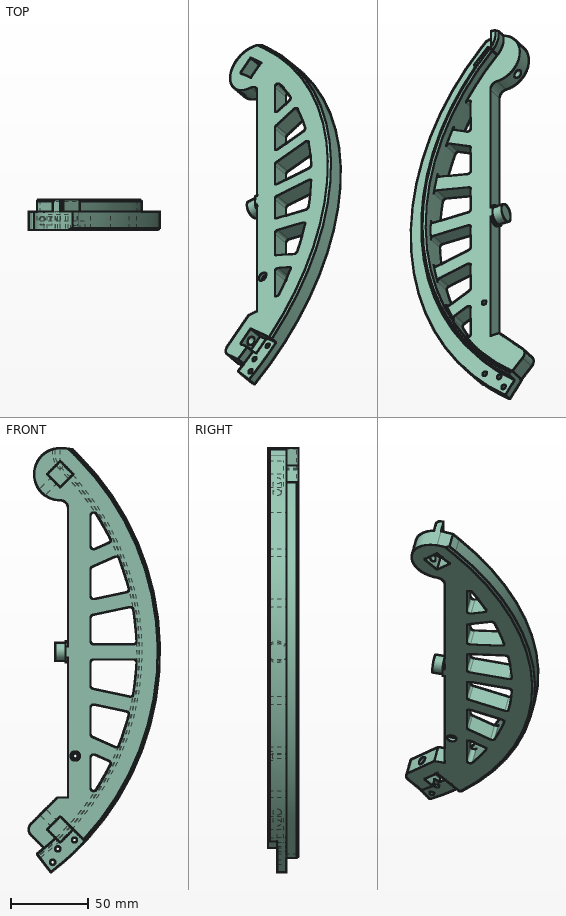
import cadquery as cq
import math

joint_angle = 45.0
diagonal = math.sqrt(0.5)

outer_radius = 180.0
inner_radius = 165.0
plate_thickness = 12.0
total_depth = 20.0
front_chamfer = 1.5

hub_distance = 163.0
hub_radius = 17.0
hub_fillet = 5.0
block_half_width = 16.0
block_corner_radius = 5.0
block_shoulder_z = -94.5
crown_radius = 36.0
hub_offset = hub_distance * diagonal
spine_x = hub_offset + hub_fillet

socket_side = 12.0
socket_depth = 10.0
set_screw_diameter = 5.5

window_left_x = 135.0
window_fillet = 2.0
rib_width = 10.0
rib_pitch_angle = 12.0
rib_angles = [rib_pitch_angle * step for step in range(-2, 3)]

tab_end_angle = 52.66
notch_depth = 6.0
tab_hole_diameter = 3.2
tab_holes = [(174.4, -1.7), (170.8, 10.0), (174.6, 18.5)]

rim_outer_radius = 168.4
rim_chamfer = 1.5
rim_end_angle = 45.8
pad_length = 15.0
horn_arc_center = (125.3, 129.2)
horn_arc_radius = 15.0

pin_diameter = 12.0
pin_tip_x = 112.0
collar_diameter = 14.0
collar_x = 118.8
pin_overlap = 1.0

spine_hole_center = (125.0, -67.6)
spine_hole_diameter = 3.2
counterbore_diameter = 6.0
counterbore_depth = 3.0


def polar(radius, degrees):
    """X, Z of a point on a circle about the ring centre."""
    angle = math.radians(degrees)
    return radius * math.cos(angle), radius * math.sin(angle)


def lower_point(radial, tangential):
    """X, Z of a point measured along and past the -45 degree axis."""
    return (radial - tangential) * diagonal, -(radial + tangential) * diagonal


def front_plane(y=0):
    """Sketch plane with local axes X and Z; negative extrusions go to +Y."""
    return cq.Workplane("XZ", origin=(0, y, 0))


def disc(center, radius, y, depth):
    return front_plane(y).center(*center).circle(radius).extrude(-depth)


def tilted_box(radial, tangential, y, axis_angle):
    """Box from ranges along a radial axis, across it, and in Y."""
    size = [high - low for low, high in (radial, y, tangential)]
    box = cq.Workplane("XY").box(*size, centered=False).translate((radial[0], y[0], tangential[0]))
    return box.rotate((0, 0, 0), (0, 1, 0), -axis_angle)


def plate_blank(depth):
    """Plate outline extruded from the front face, with its front outer edge chamfered."""
    hub_top = hub_offset + hub_radius
    hub_bottom = hub_offset - hub_radius

    crown_center_z = hub_top - crown_radius
    center_distance = (hub_offset + crown_center_z) * diagonal
    crown_angle = math.radians(joint_angle) + math.acos((outer_radius - center_distance) / crown_radius)
    mid_angle = (math.radians(90) + crown_angle) / 2
    crown_mid, crown_end = [
        (hub_offset + crown_radius * math.cos(a), crown_center_z + crown_radius * math.sin(a))
        for a in (mid_angle, crown_angle)
    ]

    block_inner = hub_distance - block_half_width
    tab_root_radial = math.sqrt(inner_radius**2 - block_half_width**2)
    tab_root_angle = joint_angle + math.degrees(math.asin(block_half_width / inner_radius))
    shoulder_x = block_inner / diagonal + block_shoulder_z
    fillet_center_z = hub_bottom - hub_fillet
    fillet_mid = (
        hub_offset + hub_fillet * diagonal,
        fillet_center_z + hub_fillet * diagonal,
    )

    outline = (
        front_plane()
        .moveTo(hub_offset, hub_top)
        .threePointArc(crown_mid, crown_end)
        .lineTo(*polar(outer_radius, joint_angle))
        .threePointArc((outer_radius, 0), polar(outer_radius, -tab_end_angle))
        .lineTo(*polar(inner_radius, -tab_end_angle))
        .threePointArc(
            polar(inner_radius, -(tab_end_angle + tab_root_angle) / 2),
            lower_point(tab_root_radial, block_half_width),
        )
        .lineTo(*lower_point(block_inner, block_half_width))
        .lineTo(shoulder_x, block_shoulder_z)
        .lineTo(spine_x, block_shoulder_z)
        .lineTo(spine_x, fillet_center_z)
        .threePointArc(fillet_mid, (hub_offset, hub_bottom))
        .threePointArc((hub_offset - hub_radius, hub_offset), (hub_offset, hub_top))
        .close()
    )
    plate = outline.extrude(-depth)

    corner_x, corner_z = lower_point(block_inner, block_half_width)
    corner = cq.selectors.NearestToPointSelector((corner_x, depth / 2, corner_z))
    plate = plate.edges(corner).fillet(block_corner_radius)

    straight_x = (crown_end[0] + outer_radius * diagonal) / 2
    straight_z = (crown_end[1] + outer_radius * diagonal) / 2
    straight_edge = cq.selectors.NearestToPointSelector((straight_x, 0, straight_z))
    arc_edge = cq.selectors.NearestToPointSelector((outer_radius, 0, 0))
    return plate.edges(cq.selectors.SumSelector(straight_edge, arc_edge)).chamfer(front_chamfer)


def windows():
    """Openings between the straight spine and the curved band, separated by radial ribs."""
    reach = outer_radius
    area = disc((0, 0), inner_radius, 0, plate_thickness)
    area = area.intersect(
        cq.Workplane("XY").box(reach, plate_thickness, 2 * reach, centered=(False, False, True))
        .translate((window_left_x, 0, 0))
    )
    for angle in rib_angles:
        area = area.cut(
            tilted_box((0, reach), (-rib_width / 2, rib_width / 2), (0, plate_thickness), angle)
        )
    return area.edges("|Y").fillet(window_fillet)


def stop_pin():
    """Pin with a wider collar; the collar is flush with both plate faces."""

    def stub(tip_x, diameter):
        length = spine_x + pin_overlap - tip_x
        plane = cq.Workplane("YZ", origin=(tip_x, plate_thickness / 2, 0))
        return plane.circle(diameter / 2).extrude(length)

    slab = cq.Workplane("XY").box(
        2 * outer_radius, plate_thickness, 2 * outer_radius, centered=(True, False, True)
    )
    collar = stub(collar_x, collar_diameter).intersect(slab)
    return stub(pin_tip_x, pin_diameter).union(collar)


def rear_rim():
    """Curved ridge with both rear edges chamfered."""
    rim = (
        cq.Workplane("XY")
        .moveTo(inner_radius, plate_thickness)
        .lineTo(rim_outer_radius, plate_thickness)
        .lineTo(rim_outer_radius, total_depth - rim_chamfer)
        .lineTo(rim_outer_radius - rim_chamfer, total_depth)
        .lineTo(inner_radius + rim_chamfer, total_depth)
        .lineTo(inner_radius, total_depth - rim_chamfer)
        .close()
        .revolve(rim_end_angle + tab_end_angle, (0, 0), (0, 1))
    )
    return rim.rotate((0, 0, 0), (0, 1, 0), -rim_end_angle)


def rear_horn():
    """Pointed stop behind the hub, bounded by the hub, a convex arc and a flat side."""
    rear_depth = total_depth - plate_thickness
    lobe = disc(horn_arc_center, horn_arc_radius, plate_thickness, rear_depth)
    lobe = lobe.faces(">Y").edges().chamfer(rim_chamfer)
    left_half = (
        cq.Workplane("XY").box(outer_radius, total_depth, outer_radius, centered=False)
        .translate((hub_offset - outer_radius, 0, inner_radius * diagonal))
    )
    return plate_blank(total_depth).intersect(lobe).intersect(left_half)


def rear_pad():
    """Block that squares off the outer side of the rim at its upper end."""
    end_offset = rim_outer_radius * math.sin(math.radians(rim_end_angle - joint_angle))
    return tilted_box(
        (inner_radius + rim_chamfer, rim_outer_radius),
        (end_offset - pad_length, end_offset),
        (plate_thickness, total_depth),
        joint_angle,
    )


def tab_notch():
    """Front half of the tab, removed outside the inner radius from the socket edge onward."""
    clear = tilted_box(
        (hub_distance - hub_radius, outer_radius + hub_radius),
        (-2 * hub_radius, socket_side / 2),
        (0, notch_depth),
        -joint_angle,
    )
    return clear.cut(disc((0, 0), inner_radius, 0, notch_depth))


def socket(axis_angle):
    half = socket_side / 2
    return tilted_box(
        (hub_distance - half, hub_distance + half), (-half, half), (0, socket_depth), axis_angle
    )


def set_screw_hole(direction_x, direction_z, center_z):
    start = cq.Vector(hub_offset, plate_thickness / 2, center_z)
    hole = cq.Solid.makeCylinder(
        set_screw_diameter / 2, 2 * hub_radius, start, cq.Vector(direction_x, 0, direction_z)
    )
    return cq.Workplane(obj=hole)


def spine_hole():
    bore = disc(spine_hole_center, spine_hole_diameter / 2, 0, plate_thickness)
    return bore.union(disc(spine_hole_center, counterbore_diameter / 2, 0, counterbore_depth))


frame = plate_blank(plate_thickness).cut(windows())
frame = frame.union(rear_rim()).union(rear_pad()).union(rear_horn()).union(stop_pin())
frame = frame.cut(tab_notch()).cut(spine_hole())
for side in (1, -1):
    frame = frame.cut(socket(joint_angle * side))
    frame = frame.cut(set_screw_hole(-1, -side, hub_offset * side))
for radial, tangential in tab_holes:
    frame = frame.cut(disc(lower_point(radial, tangential), tab_hole_diameter / 2, 0, total_depth))

result = frame